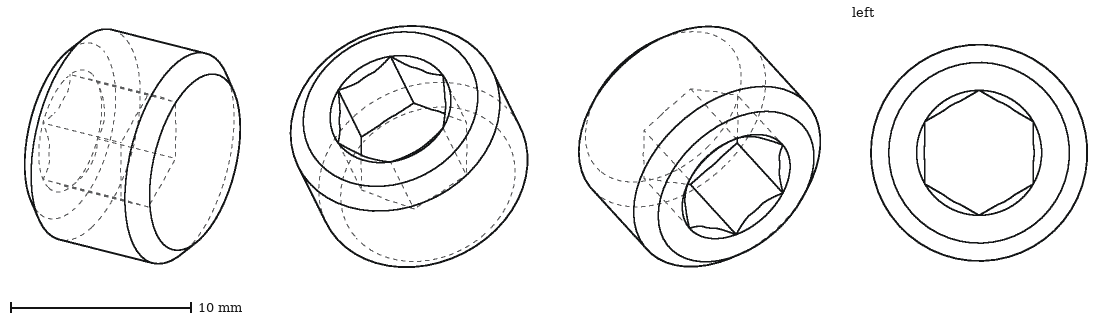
import cadquery as cq
import math

outer_diameter = 12
length = 8.0
edge_chamfer = 1.0

across_flats = 6
socket_depth = 5.0
mouth_half_angle = 45

drill_diameter = 6.1
drill_half_angle = 75


def cone_height(diameter, half_angle):
    """Height of a full cone with the given base diameter."""
    return diameter / 2 / math.tan(math.radians(half_angle))


def inward_cone(base_x, diameter, half_angle):
    """Cone on the X axis, narrowing from base_x toward +X."""
    height = cone_height(diameter, half_angle)
    return cq.Workplane("XY").polyline(
        [(base_x, 0), (base_x, diameter / 2), (base_x + height, 0)]
    ).close().revolve(360, (0, 0, 0), (1, 0, 0))


body = cq.Workplane("YZ").circle(outer_diameter / 2).extrude(length)
body = body.edges("%CIRCLE").chamfer(edge_chamfer)

across_corners = across_flats / math.cos(math.radians(30))
hexagon = (
    cq.Workplane("YZ")
    .transformed(rotate=(0, 0, 90))
    .polygon(6, across_corners)
    .extrude(socket_depth)
)

drill = cq.Workplane("YZ").circle(drill_diameter / 2).extrude(socket_depth)
drill_point = inward_cone(socket_depth, drill_diameter, drill_half_angle)

mouth = inward_cone(0, across_corners, mouth_half_angle)

result = body.cut(hexagon).cut(drill).cut(drill_point).cut(mouth)